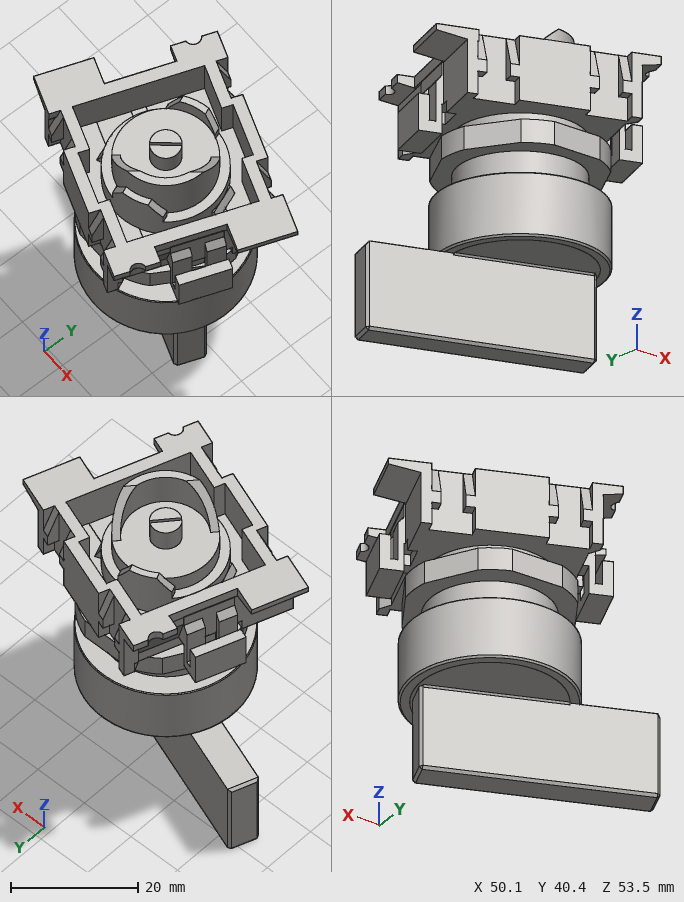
import cadquery as cq
import math

FRAME_ANGLE = -19.8
TAB_ANGLE = 111.8
ROTOR_ANGLE = -40.5

HANDLE_TOP = 15.0
DISC_TOP = 17.65
BEZEL_TOP = 25.8
NUT_BOTTOM = 30.8
NUT_TOP = 34.8
FRAME_BOTTOM = 37.3
FLOOR_TOP = 40.7
COLLAR_TOP = 44.45
ROTOR_FLOOR = 47.5
FRAME_TOP = 48.25
TAB_TOP = 49.4
PIN_TOP = 51.5
TOTAL_HEIGHT = 53.5

HANDLE_TIP = 27.0
HANDLE_TAIL = 12.0
HANDLE_WIDTH = 5.45
HANDLE_CHAMFER = 0.5
DISC_RADIUS = 12.6
WEB_LEG = 0.3

BEZEL_RADIUS = 14.45
BEZEL_TOP_CHAMFER = 0.15
BEZEL_BOTTOM_CHAMFER = 0.3
BARREL_RADIUS = 10.8
COLLAR_RADIUS = 10.15
TAB_INNER_RADIUS = 9.0
TAB_TOP_HALF_WIDTH = 2.3
TAB_BASE_HALF_WIDTH = 4.55
TAB_SLOPE_START = 46.0
WEDGE_LENGTH = 5.35
WEDGE_REACH = 10.95
WEDGE_HEIGHT = 1.6

NUT_ACROSS_FLATS = 27.2
NUT_CORNER_RADIUS = 14.4

ROTOR_RADIUS = 8.5
CUP_RADIUS = 7.1
PIN_RADIUS = 2.55
SLOT_WIDTH = 0.5

HALF_U = 14.75
HALF_V = 15.0
RIM_U = 15.1
CAVITY_U = 12.85
CAVITY_V = 11.0
BAY_U = 4.75
BAY_V = 12.95
FLANGE_BOTTOM = 46.35
FLOOR_STEP = 0.1
CHANNEL_HALF_WIDTH = 7.0
RIB_HALF_WIDTH = 1.25

LONG_EAR_U = 20.0
LONG_EAR_V = 4.9
SHORT_EAR_U = 18.0
SHORT_EAR_V = 7.15
EAR_TIP_BOTTOM = 47.2
EAR_NOTCH_U = 18.3
EAR_NOTCH_V = 11.0
EAR_NOTCH_RADIUS = 1.35

NOTCH_U_MIN = 6.0
NOTCH_U_MAX = 13.0
NOTCH_FLOOR_V = 13.0
CATCH_LENGTH = 1.5
CATCH_BOTTOM = 41.2
CATCH_RAMP_START = 43.3

CLIP_HALF_WIDTH = 4.5
CLIP_BOTTOM = 34.25
CLIP_SLOT_BOTTOM = 36.2
CLIP_PLATE_TOP = 40.55
CLIP_PLATE_OUTER_U = 18.95
CLIP_PLATE_INNER_U = 17.1
ARM_OUTER_U = 16.0
ARM_OUTER_TOP = 42.9
ARM_TOP = 44.2
ARM_GAP_HALF_WIDTH = 1.25
PAD_U = 15.0
WINDOW_FAR_V = 12.4
WINDOW_BOTTOM = 39.25
WINDOW_DEPTH = 1.6
UNDERCUT_FAR_V = 13.15
UNDERCUT_NEAR_V = 5.95


def box(u_range, v_range, z_range):
    """Axis-aligned block between three pairs of limits."""
    size = [high - low for low, high in (u_range, v_range, z_range)]
    corner = (u_range[0], v_range[0], z_range[0])
    return cq.Workplane("XY").box(*size, centered=False).translate(corner)


def cylinder(radius, bottom, top):
    return cq.Workplane("XY").workplane(offset=bottom).circle(radius).extrude(top - bottom)


def prism_along_v(profile, v_min, v_max):
    """Extrude a (U, Z) profile from v_min to v_max."""
    plane = cq.Workplane("XZ", origin=(0, v_max, 0))
    return plane.polyline(profile).close().extrude(v_max - v_min)


def prism_along_u(profile, u_min, u_max):
    """Extrude a (V, Z) profile from u_min to u_max."""
    plane = cq.Workplane("YZ", origin=(u_min, 0, 0))
    return plane.polyline(profile).close().extrude(u_max - u_min)


def turned(shape, angle):
    return shape.rotate((0, 0, 0), (0, 0, 1), angle)


def make_knob():
    half_width = HANDLE_WIDTH / 2
    handle = box((-HANDLE_TIP, HANDLE_TAIL), (-half_width, half_width), (0, HANDLE_TOP))
    handle = handle.edges("|Z or <Z").chamfer(HANDLE_CHAMFER)
    handle = handle.edges("<X and >Z").chamfer(HANDLE_CHAMFER)

    disc = cylinder(DISC_RADIUS, HANDLE_TOP, DISC_TOP)
    web_top = half_width + WEB_LEG
    web_bottom = HANDLE_TOP - WEB_LEG
    web_profile = [
        (-web_top, HANDLE_TOP),
        (-half_width, web_bottom),
        (half_width, web_bottom),
        (web_top, HANDLE_TOP),
    ]
    web_end = HANDLE_TAIL - HANDLE_CHAMFER
    webs = prism_along_u(web_profile, -DISC_RADIUS, web_end)
    webs = webs.intersect(cylinder(DISC_RADIUS, web_bottom, HANDLE_TOP))
    return turned(handle.union(disc).union(webs), FRAME_ANGLE)


def make_tab_envelope(angle):
    """Radial block with sloping ends that bounds one upright tab of the collar."""
    profile = [
        (-TAB_BASE_HALF_WIDTH, COLLAR_TOP),
        (TAB_BASE_HALF_WIDTH, COLLAR_TOP),
        (TAB_BASE_HALF_WIDTH, TAB_SLOPE_START),
        (TAB_TOP_HALF_WIDTH, TAB_TOP),
        (-TAB_TOP_HALF_WIDTH, TAB_TOP),
        (-TAB_BASE_HALF_WIDTH, TAB_SLOPE_START),
    ]
    return turned(prism_along_u(profile, 0, BARREL_RADIUS), angle)


def make_collar():
    """Upper end of the bushing, with two arc-shaped tabs standing on its rim."""
    collar = cylinder(COLLAR_RADIUS, FRAME_BOTTOM, TAB_TOP)
    space_between_tabs = cylinder(BARREL_RADIUS, COLLAR_TOP, TAB_TOP)
    for half_turn in (0, 180):
        space_between_tabs = space_between_tabs.cut(make_tab_envelope(TAB_ANGLE + half_turn))
    collar = collar.cut(space_between_tabs)
    return collar.cut(cylinder(TAB_INNER_RADIUS, COLLAR_TOP, TAB_TOP))


def make_collar_wedge(angle):
    """Snap wedge on the outside of the collar that holds the frame floor."""
    profile = [
        (TAB_INNER_RADIUS, FLOOR_TOP),
        (WEDGE_REACH, FLOOR_TOP),
        (COLLAR_RADIUS, FLOOR_TOP + WEDGE_HEIGHT),
        (TAB_INNER_RADIUS, FLOOR_TOP + WEDGE_HEIGHT),
    ]
    return turned(prism_along_v(profile, -WEDGE_LENGTH / 2, WEDGE_LENGTH / 2), angle)


def make_bushing():
    bezel = cylinder(BEZEL_RADIUS, HANDLE_TOP, BEZEL_TOP)
    bezel = bezel.faces(">Z").edges().chamfer(BEZEL_TOP_CHAMFER)
    bezel = bezel.faces("<Z").edges().chamfer(BEZEL_BOTTOM_CHAMFER)
    bushing = bezel.union(cylinder(BARREL_RADIUS, BEZEL_TOP, FRAME_BOTTOM))
    bushing = bushing.union(make_collar())
    for half_turn in (0, 180):
        bushing = bushing.union(make_collar_wedge(TAB_ANGLE - 90 + half_turn))
    bushing = bushing.cut(cylinder(DISC_RADIUS, HANDLE_TOP, DISC_TOP))
    return bushing.cut(cylinder(ROTOR_RADIUS, DISC_TOP, TOTAL_HEIGHT))


def make_nut():
    """Hexagon nut with its corners turned down to a circle."""
    hexagon_diameter = NUT_ACROSS_FLATS / math.cos(math.pi / 6)
    height = NUT_TOP - NUT_BOTTOM
    nut = cq.Workplane("XY").workplane(offset=NUT_BOTTOM).polygon(6, hexagon_diameter).extrude(height)
    nut = nut.intersect(cylinder(NUT_CORNER_RADIUS, NUT_BOTTOM, NUT_TOP))
    return nut.cut(cylinder(BARREL_RADIUS, NUT_BOTTOM, NUT_TOP))


def make_rotor():
    """Cup with a 45 degree sloping rim and a slotted pin at its centre."""
    rotor = cylinder(ROTOR_RADIUS, DISC_TOP, TOTAL_HEIGHT)
    rotor = rotor.cut(cylinder(CUP_RADIUS, ROTOR_FLOOR, TOTAL_HEIGHT))
    rise = TOTAL_HEIGHT - ROTOR_FLOOR
    cut_profile = [
        (-ROTOR_RADIUS, ROTOR_FLOOR),
        (0, ROTOR_FLOOR),
        (rise, TOTAL_HEIGHT),
        (-ROTOR_RADIUS, TOTAL_HEIGHT),
    ]
    rotor = rotor.cut(prism_along_v(cut_profile, -ROTOR_RADIUS, ROTOR_RADIUS))
    half_slot = SLOT_WIDTH / 2
    slot = box((-half_slot, half_slot), (-PIN_RADIUS, PIN_RADIUS), (ROTOR_FLOOR, PIN_TOP))
    pin = cylinder(PIN_RADIUS, ROTOR_FLOOR, PIN_TOP).cut(slot)
    return turned(rotor.union(pin), ROTOR_ANGLE)


def make_ear(tip_u, v_min, v_max):
    """Flange ear on the +U end whose underside falls from the long ear's tip to the wall."""
    slope = (EAR_TIP_BOTTOM - FLANGE_BOTTOM) / (LONG_EAR_U - HALF_U)
    tip_bottom = FLANGE_BOTTOM + slope * (tip_u - HALF_U)
    profile = [
        (CAVITY_U, FRAME_TOP),
        (tip_u, FRAME_TOP),
        (tip_u, tip_bottom),
        (HALF_U, FLANGE_BOTTOM),
        (CAVITY_U, FLANGE_BOTTOM),
    ]
    return prism_along_v(profile, v_min, v_max)


def make_clip():
    """U-shaped spring clip on the +U end, with its two arms joined to a raised wall pad."""
    profile = [
        (PAD_U, CLIP_BOTTOM),
        (CLIP_PLATE_OUTER_U, CLIP_BOTTOM),
        (CLIP_PLATE_OUTER_U, CLIP_PLATE_TOP),
        (CLIP_PLATE_INNER_U, CLIP_PLATE_TOP),
        (CLIP_PLATE_INNER_U, CLIP_SLOT_BOTTOM),
        (ARM_OUTER_U, CLIP_SLOT_BOTTOM),
        (ARM_OUTER_U, ARM_OUTER_TOP),
        (PAD_U, ARM_TOP),
    ]
    clip = prism_along_v(profile, -CLIP_HALF_WIDTH, CLIP_HALF_WIDTH)
    arm_gap = box(
        (PAD_U, ARM_OUTER_U),
        (-ARM_GAP_HALF_WIDTH, ARM_GAP_HALF_WIDTH),
        (CLIP_SLOT_BOTTOM, ARM_TOP),
    )
    pad = box((CAVITY_U, PAD_U), (-CLIP_HALF_WIDTH, CLIP_HALF_WIDTH), (WINDOW_BOTTOM, FLANGE_BOTTOM))
    return clip.cut(arm_gap).union(pad)


def make_end_openings():
    """Material removed from the +U end wall around the clip."""
    inner_u = HALF_U - WINDOW_DEPTH
    window_profile = [(HALF_U, ARM_TOP), (inner_u, WINDOW_BOTTOM), (HALF_U, WINDOW_BOTTOM)]
    window = prism_along_v(window_profile, -WINDOW_FAR_V, -CLIP_HALF_WIDTH)

    undercut_height = WINDOW_BOTTOM - FRAME_BOTTOM
    undercut_outline = [
        (HALF_U, -UNDERCUT_FAR_V),
        (HALF_U, -ARM_GAP_HALF_WIDTH),
        (inner_u, -ARM_GAP_HALF_WIDTH),
        (inner_u, WINDOW_DEPTH - UNDERCUT_FAR_V),
    ]
    undercut = cq.Workplane("XY").workplane(offset=FRAME_BOTTOM)
    undercut = undercut.polyline(undercut_outline).close().extrude(undercut_height)
    near_undercut = box(
        (inner_u, HALF_U), (ARM_GAP_HALF_WIDTH, UNDERCUT_NEAR_V), (FRAME_BOTTOM, WINDOW_BOTTOM)
    )
    ear_notch = cylinder(EAR_NOTCH_RADIUS, FLANGE_BOTTOM, FRAME_TOP)
    ear_notch = ear_notch.translate((EAR_NOTCH_U, -EAR_NOTCH_V, 0))
    return [window, undercut, near_undercut, ear_notch]


def make_snap_notch(u_min):
    """Notch in the -V side that leaves a ramped catch at each end."""
    u_max = u_min + NOTCH_U_MAX - NOTCH_U_MIN
    notch = box((u_min, u_max), (-HALF_V, -NOTCH_FLOOR_V), (FRAME_BOTTOM, FRAME_TOP))
    catch_profile = [
        (-NOTCH_FLOOR_V, CATCH_BOTTOM),
        (-HALF_V, CATCH_BOTTOM),
        (-HALF_V, CATCH_RAMP_START),
        (-NOTCH_FLOOR_V, FRAME_TOP),
    ]
    for start in (u_min, u_max - CATCH_LENGTH):
        notch = notch.cut(prism_along_u(catch_profile, start, start + CATCH_LENGTH))
    return notch


def make_cavity():
    """Open inside of the frame, with side bays and stepped floor."""
    cavity = box((-CAVITY_U, CAVITY_U), (-CAVITY_V, CAVITY_V), (FLOOR_TOP, FRAME_TOP))
    bays = box((-BAY_U, BAY_U), (-BAY_V, BAY_V), (FLOOR_TOP, FRAME_TOP))
    channels = box(
        (-CAVITY_U, CAVITY_U),
        (-CHANNEL_HALF_WIDTH, CHANNEL_HALF_WIDTH),
        (FLOOR_TOP - FLOOR_STEP, FLOOR_TOP),
    )
    rib = box(
        (-CAVITY_U, CAVITY_U),
        (-RIB_HALF_WIDTH, RIB_HALF_WIDTH),
        (FLOOR_TOP - FLOOR_STEP, FLOOR_TOP),
    )
    return cavity.union(bays).union(channels.cut(rib))


def make_frame():
    """Mounting frame, unchanged by half a turn about Z."""
    frame = box((-HALF_U, HALF_U), (-HALF_V, HALF_V), (FRAME_BOTTOM, FRAME_TOP))
    frame = frame.cut(make_cavity())
    frame = frame.cut(cylinder(COLLAR_RADIUS, FRAME_BOTTOM, FRAME_TOP))
    rim_v = (-SHORT_EAR_V, LONG_EAR_V)
    added = [
        box((CAVITY_U, RIM_U), rim_v, (FLANGE_BOTTOM, FRAME_TOP)),
        make_ear(LONG_EAR_U, LONG_EAR_V, HALF_V),
        make_ear(SHORT_EAR_U, -HALF_V, -SHORT_EAR_V),
        make_clip(),
    ]
    removed = make_end_openings()
    removed += [make_snap_notch(-NOTCH_U_MAX), make_snap_notch(NOTCH_U_MIN)]
    for half_turn in (0, 180):
        for feature in added:
            frame = frame.union(turned(feature, half_turn))
        for feature in removed:
            frame = frame.cut(turned(feature, half_turn))
    return turned(frame, FRAME_ANGLE)


knob = make_knob()
bushing = make_bushing()
nut = make_nut()
frame = make_frame()
rotor = make_rotor()

result = cq.Compound.makeCompound([
    knob.val(),
    bushing.val(),
    nut.val(),
    frame.val(),
    rotor.val(),
])